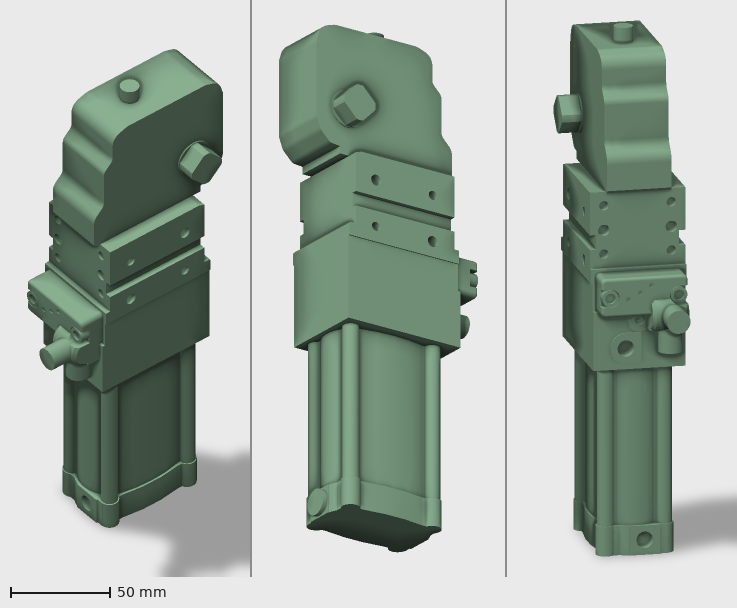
import cadquery as cq
import math


cap_top = 15.3
block_bottom = 99.0
seat_bottom = 129.5
block_step = 144.0
neck_bottom = 151.2
groove_bottom = 160.8
groove_top = 168.5
neck_top = 190.8
head_top = 260.2
overall_top = 268.0

head_width = 33.2
head_back = 47.0
head_front = -36.2
head_middle_front = -29.7
head_upper_front = -24.0
head_edge_chamfer = 1.3
button_diameter = 10.0

pivot_y = 28.0
pivot_z = 216.0
shaft_diameter = 20.0
shaft_length = 34.8
drive_diameter = 19.3
drive_flats = 16.0
overall_width = 55.0

neck_width = 49.3
neck_back = 28.5
neck_front = -32.2
groove_depth = 3.2
neck_lip_length = 3.5
neck_lip_drop = 1.0

block_width = 47.7
block_back = 32.5
block_front = -36.5
seat_front = -34.8
block_edge_chamfer = 0.8

screw_hole = 4.8
dowel_hole = 6.0
hole_depth = 6.7
drill_tip_angle = 118.0
front_hole_x = 17.5
front_holes = [(183.5, screw_hole), (170.7, dowel_hole), (158.5, screw_hole)]
side_holes = [
    (16.0, 177.5, dowel_hole),
    (-18.8, 177.5, screw_hole),
    (16.0, 152.2, screw_hole),
    (-18.8, 152.2, dowel_hole),
]

port_diameter = 8.5
port_depth = 8.0
pad_height = 0.8
port_pad_x = -7.2
port_pad_z = 110.0
port_pad_size = 16.0
vent_diameter = 5.4
vent_pad_diameter = 12.5
vent_z = 124.5

rod_x = 15.0
rod_y = 25.0
rod_diameter = 8.5
barrel_x = 15.0
barrel_y = 26.5
barrel_end_bulge = 2.7
barrel_side_bulge = 2.5
barrel_end_half = 9.5
barrel_side_half = 19.3

cap_corner_diameter = 10.0
cap_x = 17.0
cap_y = 28.7
cap_end_half = 8.5
cap_side_half = 17.7
cap_end_bulge = 2.1
cap_side_bulge = 1.5
cap_port_x = 4.0
cap_port_z = 7.8
cap_pad_width = 15.5
cap_pad_reach = 30.8
cap_shoulder_right = 15.8
cap_shoulder_reach = 30.0
plug_diameter = 14.0
plug_back = 33.2

sensor_width = 44.5
sensor_top = 149.5
sensor_front = -48.5
sensor_corner_radius = 2.5
sensor_front_radius = 1.5
screw_x = 17.7
screw_z = 139.4
screw_head_diameter = 8.5
screw_pocket_width = 9.5
screw_pocket_depth = 5.0
screw_socket_diameter = 5.4
screw_socket_depth = 2.1
lamp_diameter = 2.5
lamp_depth = 0.8
lamp_places = [(-8.5, 138.5), (-2.5, 141.8), (3.2, 145.3)]

elbow_diameter = 18.0
elbow_left = 3.5
elbow_right = sensor_width / 2
elbow_y = -44.5
elbow_z = 129.5
elbow_chamfer = 1.5
plug_x = 14.0
connector_diameter = 12.0
connector_front = -64.3
connector_bottom = 109.3


def box(x0, x1, y0, y1, z0, z1):
    """Box between two opposite corners."""
    return cq.Workplane("XY").box(x1 - x0, y1 - y0, z1 - z0, centered=False).translate((x0, y0, z0))


def cylinder(start, direction, length, diameter):
    """Cylinder whose first end is centred on start and which runs along direction."""
    return cq.Workplane(cq.Solid.makeCylinder(diameter / 2, length, cq.Vector(*start), cq.Vector(*direction)))


def drilled_hole(start, direction, diameter):
    """Blind hole with the conical bottom of a drill."""
    radius = diameter / 2
    tip = radius / math.tan(math.radians(drill_tip_angle / 2))
    bottom = cq.Vector(*start) + cq.Vector(*direction) * hole_depth
    cone = cq.Solid.makeCone(radius, 0, tip, bottom, cq.Vector(*direction))
    return cylinder(start, direction, hole_depth, diameter).union(cq.Workplane(cone))


def bulged_core(end_half, end_y, end_bulge, side_half, side_x, side_bulge, height):
    """Square-cornered core whose four faces bulge outward in arcs."""
    return (
        cq.Workplane("XY")
        .moveTo(-side_x, -end_y)
        .lineTo(-end_half, -end_y)
        .threePointArc((0, -end_y - end_bulge), (end_half, -end_y))
        .lineTo(side_x, -end_y)
        .lineTo(side_x, -side_half)
        .threePointArc((side_x + side_bulge, 0), (side_x, side_half))
        .lineTo(side_x, end_y)
        .lineTo(end_half, end_y)
        .threePointArc((0, end_y + end_bulge), (-end_half, end_y))
        .lineTo(-side_x, end_y)
        .lineTo(-side_x, side_half)
        .threePointArc((-side_x - side_bulge, 0), (-side_x, -side_half))
        .close()
        .extrude(height)
    )


def corner_columns(diameter, height):
    """Four round columns around the barrel."""
    return (
        cq.Workplane("XY").rect(2 * rod_x, 2 * rod_y, forConstruction=True).vertices()
        .circle(diameter / 2).extrude(height)
    )


def make_head():
    """Head plate: its YZ outline with a rounding radius at each corner."""
    corners = [
        (32.5, neck_top, 0),
        (32.5, 194.8, 0),
        (38.5, 195.5, 4.0),
        (44.5, 201.3, 5.4),
        (head_back, 208.0, 6.0),
        (head_back, 249.0, 6.0),
        (44.2, 257.5, 7.8),
        (35.6, head_top, 6.0),
        (-14.5, head_top, 6.0),
        (head_upper_front, 257.0, 6.7),
        (head_upper_front, 242.5, 4.0),
        (head_middle_front, 237.0, 4.0),
        (head_middle_front, 215.2, 4.5),
        (head_front, 208.8, 6.7),
        (head_front, neck_top, 0),
    ]
    outline = [(y, z) for y, z, _ in corners]
    reach = 0.3
    head = cq.Workplane("YZ").polyline(outline).close().extrude(head_width / 2, both=True)
    for y, z, radius in corners:
        if radius:
            near = (-head_width, y - reach, z - reach)
            far = (head_width, y + reach, z + reach)
            head = head.edges(cq.selectors.BoxSelector(near, far)).fillet(radius)
    head = head.faces("<Y").edges("<Z").chamfer(head_edge_chamfer)
    return head.union(cylinder((0, 0, head_top), (0, 0, 1), overall_top - head_top, button_diameter))


def make_neck():
    """Neck with a cross groove on each side and a bevelled top back edge."""
    half = neck_width / 2
    neck = box(-half, half, neck_front, neck_back, neck_bottom, neck_top)
    neck = neck.faces(">Z").edges(">Y").chamfer(neck_lip_drop, neck_lip_length)
    floor = half - groove_depth
    for side in (-1, 1):
        edges = sorted((side * floor, side * half))
        neck = neck.cut(box(*edges, neck_front, neck_back, groove_bottom, groove_top))
    return neck


def make_block():
    """Air block under the neck, with the sensor seat and the raised port pads."""
    upper_half = neck_width / 2
    half = block_width / 2
    upper = box(-upper_half, upper_half, seat_front, block_back, block_step, neck_bottom)
    upper = upper.faces(">Z").edges(">Y").chamfer(block_edge_chamfer)
    middle = box(-half, half, seat_front, block_back, seat_bottom, block_step)
    lower = box(-half, half, block_front, block_back, block_bottom, seat_bottom)

    pad_face = block_front - pad_height
    pad_half = port_pad_size / 2
    pad = cylinder((port_pad_x, block_front, port_pad_z), (0, -1, 0), pad_height, port_pad_size)
    pad_corner = box(
        port_pad_x, port_pad_x + pad_half, pad_face, block_front, port_pad_z - pad_half, port_pad_z + pad_half
    )
    vent_pad = cylinder((0, block_front, vent_z), (0, -1, 0), pad_height, vent_pad_diameter)
    vent_pad = vent_pad.intersect(lower.translate((0, -pad_height, 0)))

    block = upper.union(middle).union(lower).union(pad).union(pad_corner).union(vent_pad)
    block = block.cut(cylinder((port_pad_x, pad_face, port_pad_z), (0, 1, 0), port_depth, port_diameter))
    return block.cut(cylinder((0, pad_face, vent_z), (0, 1, 0), port_depth, vent_diameter))


def make_cylinder():
    """Barrel with four tie columns, and the end cap with its port pads, shoulders and plug."""
    height = block_bottom - cap_top
    barrel = bulged_core(
        barrel_end_half, barrel_y, barrel_end_bulge, barrel_side_half, barrel_x, barrel_side_bulge, height
    ).union(corner_columns(rod_diameter, height)).translate((0, 0, cap_top))

    cap = bulged_core(
        cap_end_half, cap_y, cap_end_bulge, cap_side_half, cap_x, cap_side_bulge, cap_top
    ).union(corner_columns(cap_corner_diameter, cap_top))
    pad_left = cap_port_x - cap_pad_width / 2
    cap = cap.union(box(0, cap_shoulder_right, -cap_shoulder_reach, cap_shoulder_reach, 0, cap_top))
    cap = cap.union(box(pad_left, pad_left + cap_pad_width, -cap_pad_reach, cap_pad_reach, 0, cap_top))
    cap = cap.union(cylinder((cap_port_x, 0, cap_port_z), (0, 1, 0), plug_back, plug_diameter))
    port = drilled_hole((cap_port_x, -cap_pad_reach, cap_port_z), (0, 1, 0), port_diameter)
    return barrel.union(cap).cut(port)


def make_body():
    """Head, neck, block and cylinder in one piece, with mounting holes and the pivot bore."""
    body = make_neck().union(make_head()).union(make_block()).union(make_cylinder())
    for side in (-1, 1):
        for z, diameter in front_holes:
            body = body.cut(drilled_hole((side * front_hole_x, neck_front, z), (0, 1, 0), diameter))
        for y, z, diameter in side_holes:
            body = body.cut(drilled_hole((side * neck_width / 2, y, z), (-side, 0, 0), diameter))
    return body.cut(cylinder((-head_width / 2, pivot_y, pivot_z), (1, 0, 0), head_width, shaft_diameter))


def make_shaft():
    """Round shaft through the head with a square drive, set on its corner, at each end."""
    half = overall_width / 2
    centre = (-half, pivot_y, pivot_z)
    square = (
        cq.Workplane("YZ").rect(drive_flats, drive_flats).extrude(overall_width)
        .rotate((0, 0, 0), (1, 0, 0), 45).translate(centre)
    )
    drive = cylinder(centre, (1, 0, 0), overall_width, drive_diameter).intersect(square)
    return drive.union(
        cylinder((-shaft_length / 2, pivot_y, pivot_z), (1, 0, 0), shaft_length, shaft_diameter)
    )


def make_sensor_screw(side):
    """Socket screw head that fills most of a corner pocket of the sensor housing."""
    floor = sensor_front + screw_pocket_depth
    head = cylinder((side * screw_x, floor, screw_z), (0, -1, 0), screw_pocket_depth, screw_head_diameter)
    socket = cylinder(
        (side * screw_x, sensor_front, screw_z), (0, 1, 0), screw_socket_depth, screw_socket_diameter
    )
    return head.cut(socket)


def make_elbow():
    """Elbow of the connector: a drum across X with a foot that squares off its lower back."""
    width = elbow_right - elbow_left
    radius = elbow_diameter / 2
    back = block_front - pad_height
    drum = cylinder((elbow_left, elbow_y, elbow_z), (1, 0, 0), width, elbow_diameter)
    drum = drum.edges().chamfer(elbow_chamfer)
    foot = box(elbow_left, elbow_right, elbow_y, back, elbow_z - radius, elbow_z)
    behind = box(elbow_left, elbow_right, back, seat_front, elbow_z - radius, elbow_z + radius)
    return drum.union(foot).cut(behind)


def make_connectors():
    """Round plugs that leave the elbow downward and forward."""
    start = (plug_x, elbow_y, elbow_z)
    down = cylinder(start, (0, 0, -1), elbow_z - connector_bottom, connector_diameter)
    forward = cylinder(start, (0, -1, 0), elbow_y - connector_front, connector_diameter)
    return down.union(forward)


def make_screw_pocket(side):
    """Pocket around a screw, open to the side and forward, so that it also clears the elbow."""
    floor = sensor_front + screw_pocket_depth
    mouth = connector_front
    half = screw_pocket_width / 2
    edges = sorted((side * screw_x, side * sensor_width / 2))
    pocket = cylinder((side * screw_x, floor, screw_z), (0, -1, 0), floor - mouth, screw_pocket_width)
    return pocket.union(box(*edges, mouth, floor, screw_z - half, screw_z + half))


def make_sensor():
    """Sensor housing with screws, signal lamps and the connector elbow."""
    half = sensor_width / 2
    sensor = box(-half, half, sensor_front, seat_front, seat_bottom, sensor_top)
    sensor = sensor.edges("|Y").fillet(sensor_corner_radius)
    sensor = sensor.faces("<Y").edges().fillet(sensor_front_radius)
    for x, z in lamp_places:
        sensor = sensor.cut(cylinder((x, sensor_front, z), (0, 1, 0), lamp_depth, lamp_diameter))
    sensor = sensor.union(make_elbow())
    for side in (-1, 1):
        sensor = sensor.cut(make_screw_pocket(side)).union(make_sensor_screw(side))
    return sensor.union(make_connectors())


body = make_body()
shaft = make_shaft()
sensor = make_sensor()
result = cq.Compound.makeCompound([part.solids().val() for part in (body, shaft, sensor)])